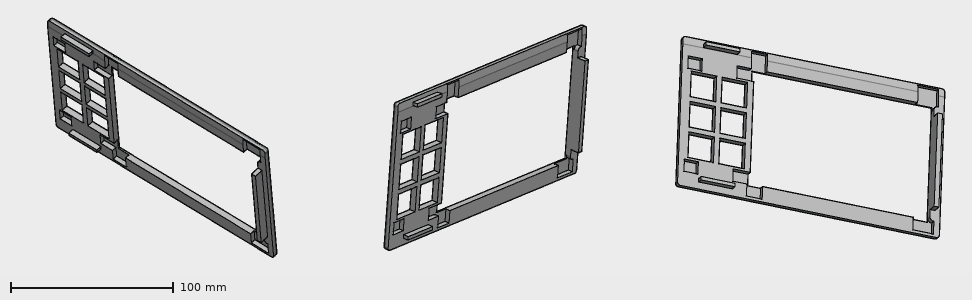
import cadquery as cq
import math

length = 176.5
height = 100.0
thickness = 4.5
tilt = 5.0
edge_radius = 2.0

flat_height = 5.5
flat_start = height - flat_height
flat_y = -flat_start * math.sin(math.radians(tilt))
flat_z = flat_start * math.cos(math.radians(tilt))

screen_left = 48.4
screen_right = 169.6
screen_bottom = 10.4
screen_top = 87.2

window_size = 17.1
window_pitch_x = 20.8
window_pitch_z = 20.4
window_columns = 2
window_rows = 3
first_window_left = 6.4
first_window_bottom = 19.7

pocket_depth = 3.3
corner_pocket_spans = ((46.4, 57.0), (158.5, 172.4))
corner_pocket_top = 99.0
corner_pocket_bottom = 1.9
key_pocket_spans = ((4.0, 13.4), (36.9, screen_left))
key_pocket_height = 8.2
upper_key_pocket_bottom = screen_top - key_pocket_height
lower_key_pocket_bottom = 9.9
bar_end_radius = 2.5

rib_left = 14.0
rib_length = 22.8
rib_height = 2.3
rib_reach = 3.8
lower_rib_bottom = 4.7
upper_rib_bottom = 94.4
tab_width = 3.2
tab_bottom = 17.7
tab_height = 62.5
tab_reach = 6.1
root_overlap = 1.0


def block(x_range, y_range, z_range):
    """Box spanning the given (low, high) pairs."""
    x0, x1 = x_range
    y0, y1 = y_range
    z0, z1 = z_range
    box = cq.Workplane("XY").box(x1 - x0, y1 - y0, z1 - z0, centered=False)
    return box.translate((x0, y0, z0))


def tilted(body):
    return body.rotate((0, 0, 0), (1, 0, 0), tilt)


def make_plate():
    """Plate with rounded corners and a rounded back edge; the front edge stays sharp."""
    plate = block((0, length), (0, thickness), (0, height))
    return plate.edges("|Y or >Y").fillet(edge_radius)


def cut_screen(plate):
    opening = block((screen_left, screen_right), (0, thickness), (screen_bottom, screen_top))
    return plate.cut(opening)


def cut_windows(plate):
    for column in range(window_columns):
        left = first_window_left + column * window_pitch_x
        for row in range(window_rows):
            bottom = first_window_bottom + row * window_pitch_z
            window = block((left, left + window_size), (0, thickness), (bottom, bottom + window_size))
            plate = plate.cut(window)
    return plate


def cut_pockets(plate):
    depth = (0, pocket_depth)
    for span in corner_pocket_spans:
        plate = plate.cut(block(span, depth, (screen_top, corner_pocket_top)))
        plate = plate.cut(block(span, depth, (corner_pocket_bottom, screen_bottom)))
    for span in key_pocket_spans:
        for bottom in (upper_key_pocket_bottom, lower_key_pocket_bottom):
            plate = plate.cut(block(span, depth, (bottom, bottom + key_pocket_height)))
    return plate


def round_bar_ends(plate):
    """Round the corners where the bar right of the screen meets the corner pockets."""
    r = bar_end_radius
    for end, inward in ((screen_top, -1), (screen_bottom, 1)):
        centre_x = screen_right + r
        centre_z = end + inward * r
        corner = block(
            (screen_right, centre_x),
            (0, pocket_depth),
            (min(end, centre_z), max(end, centre_z)),
        )
        round_stock = (
            cq.Workplane("XZ").center(centre_x, centre_z).circle(r).extrude(-pocket_depth)
        )
        plate = plate.cut(corner.cut(round_stock))
    return plate


def cut_flat(plate):
    """Trim the top of the tilted plate's front face to a vertical plane."""
    trim = block((0, length), (flat_y - thickness, flat_y), (flat_z, flat_z + 2 * flat_height))
    return plate.cut(trim)


def rib(face_y, bottom):
    """Rib standing out of an upright face at the given Y, rooted inside the plate."""
    return block(
        (rib_left, rib_left + rib_length),
        (face_y - rib_reach, face_y + root_overlap),
        (bottom, bottom + rib_height),
    )


def add_ribs(plate):
    """The lower rib is tilted with the plate; the upper one is level, on the flat."""
    return plate.union(tilted(rib(0, lower_rib_bottom))).union(rib(flat_y, upper_rib_bottom))


def add_tab(plate):
    tab = block(
        (screen_right, screen_right + tab_width),
        (-tab_reach, root_overlap),
        (tab_bottom, tab_bottom + tab_height),
    )
    return plate.union(tilted(tab))


plate = make_plate()
plate = cut_screen(plate)
plate = cut_windows(plate)
plate = cut_pockets(plate)
plate = round_bar_ends(plate)
plate = cut_flat(tilted(plate))
plate = add_ribs(plate)
result = add_tab(plate)